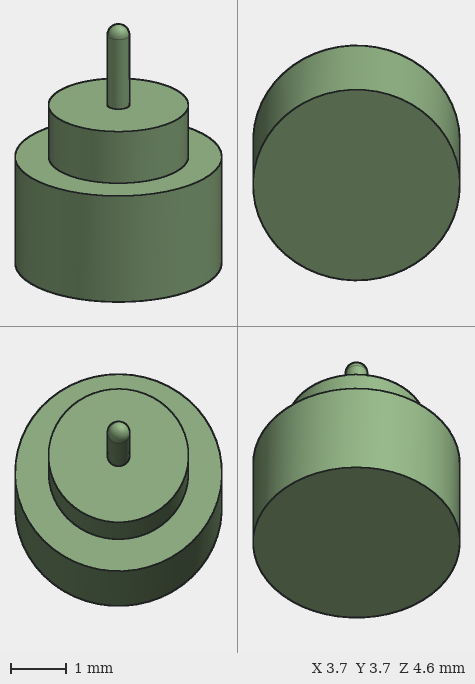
import cadquery as cq

total_height = 4.6
base_diameter = 3.7
base_height = 2.05
collar_diameter = 2.502
collar_height = 1.0
pin_diameter = 0.4

pin_radius = pin_diameter / 2
dome_start = total_height - pin_radius

base = cq.Workplane("XY").circle(base_diameter / 2).extrude(base_height)
collar = (
    cq.Workplane("XY", origin=(0, 0, base_height))
    .circle(collar_diameter / 2)
    .extrude(collar_height)
)

pin = (
    cq.Workplane("XZ")
    .moveTo(0, base_height)
    .lineTo(pin_radius, base_height)
    .lineTo(pin_radius, dome_start)
    .radiusArc((0, total_height), -pin_radius)
    .close()
    .revolve(360, (0, 0, 0), (0, 1, 0))
)

result = base.union(collar).union(pin)